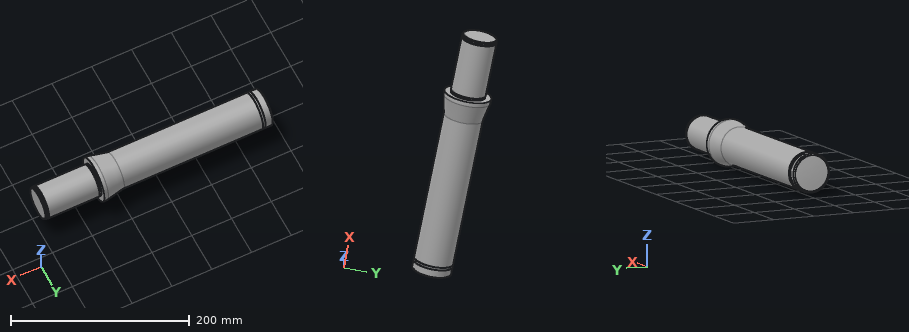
import cadquery as cq

LENGTH = 286.0
BAND_START = 10.5
BAND_END = 13.7
FLARE_START = 188.8
COLLAR_START = 210.8
COLLAR_END = 215.6
RELIEF_END = 218.5
PILOT_START = 282.5

BODY_DIAMETER = 45.0
END_FACE_DIAMETER = 41.2
COLLAR_DIAMETER = 54.0
SHANK_DIAMETER = 40.0
PILOT_DIAMETER = 39.5

DOME_HEIGHT = 1.0
FRONT_CHAMFER_LENGTH = 1.1
BAND_DEPTH = 1.1
STEP_LENGTH = 1.0
END_CHAMFER_LENGTH = 1.5
END_CHAMFER_DEPTH = 1.0

BODY_RADIUS = BODY_DIAMETER / 2
END_FACE_RADIUS = END_FACE_DIAMETER / 2
BAND_INNER_RADIUS = BODY_RADIUS - BAND_DEPTH
COLLAR_RADIUS = COLLAR_DIAMETER / 2
SHANK_RADIUS = SHANK_DIAMETER / 2
PILOT_RADIUS = PILOT_DIAMETER / 2


def revolve_about_x(profile):
    """Solid of revolution about X from a closed profile of axial position and radius."""
    return profile.revolve(360, (0, 0, 0), (1, 0, 0))


def make_pillar():
    """Round pillar with a domed end, a band groove, a flared collar and a relieved shank."""
    dome_middle = (DOME_HEIGHT / 4, END_FACE_RADIUS / 2)
    profile = (
        cq.Workplane("XY")
        .moveTo(0, 0)
        .threePointArc(dome_middle, (DOME_HEIGHT, END_FACE_RADIUS))
        .lineTo(DOME_HEIGHT + FRONT_CHAMFER_LENGTH, BODY_RADIUS)
        .lineTo(BAND_START, BODY_RADIUS)
        .lineTo(BAND_START, BAND_INNER_RADIUS)
        .lineTo(BAND_END, BAND_INNER_RADIUS)
        .lineTo(BAND_END, BODY_RADIUS)
        .lineTo(FLARE_START, BODY_RADIUS)
        .lineTo(COLLAR_START, COLLAR_RADIUS)
        .lineTo(COLLAR_END, COLLAR_RADIUS)
        .lineTo(COLLAR_END, PILOT_RADIUS)
        .lineTo(RELIEF_END - STEP_LENGTH, PILOT_RADIUS)
        .lineTo(RELIEF_END, SHANK_RADIUS)
        .lineTo(PILOT_START - STEP_LENGTH, SHANK_RADIUS)
        .lineTo(PILOT_START, PILOT_RADIUS)
        .lineTo(LENGTH - END_CHAMFER_LENGTH, PILOT_RADIUS)
        .lineTo(LENGTH, PILOT_RADIUS - END_CHAMFER_DEPTH)
        .lineTo(LENGTH, 0)
        .close()
    )
    return revolve_about_x(profile)


def make_band():
    """Thin ring that fills the pillar's groove, flush with its surface."""
    profile = (
        cq.Workplane("XY")
        .moveTo(BAND_START, BAND_INNER_RADIUS)
        .lineTo(BAND_START, BODY_RADIUS)
        .lineTo(BAND_END, BODY_RADIUS)
        .lineTo(BAND_END, BAND_INNER_RADIUS)
        .close()
    )
    return revolve_about_x(profile)


pillar = make_pillar()
band = make_band()

result = cq.Compound.makeCompound([pillar.val(), band.val()])